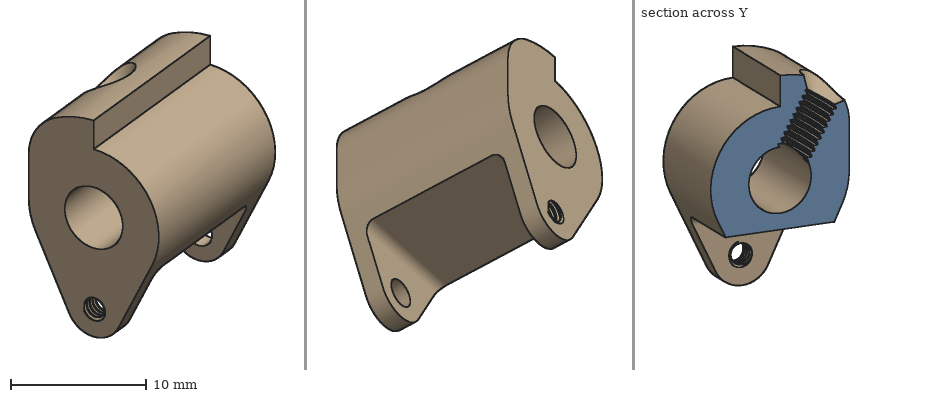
import cadquery as cq
import math

length = 16.0
barrel_radius = 5.71
bore_radius = 2.54
step_height = 2.4
cam_radius = barrel_radius + step_height
shoulder_radius = 4.0

tail_drop = 7.54
tail_radius = 2.4
ear_thickness = 1.58
slot_ceiling_z = -3.85
slot_corner_radius = 0.9

flank_tangent = math.tan(math.radians(30))

ear_thread_diameter = 2.1
ear_thread_pitch = 0.4
ear_thread_start = (1, 0, -1)
ear_clearance_diameter = 2.3

screw_tilt = math.radians(30)
screw_diameter = 3.0
screw_pitch = 0.5
screw_start_turn = math.radians(155)
countersink_apex = 5.55
rim_clearance = 1.0
screw_outward = cq.Vector(-math.sin(screw_tilt), 0, math.cos(screw_tilt))
screw_uphill = cq.Vector(math.cos(screw_tilt), 0, math.sin(screw_tilt))


def minor_radius(diameter, pitch):
    """Radius of the hole inside the thread: the groove is 5/8 of the sharp triangle deep."""
    sharp_height = pitch / (2 * flank_tangent)
    return diameter / 2 - 5 / 8 * sharp_height


def polar(radius, angle, center_x=0.0, center_z=0.0):
    """X and Z of the point at this angle on a circle, measured from +X toward +Z."""
    return (center_x + radius * math.cos(angle), center_z + radius * math.sin(angle))


def make_body():
    shoulder_x = shoulder_radius - barrel_radius
    shoulder_z = math.sqrt((cam_radius - shoulder_radius) ** 2 - shoulder_x**2)
    blend_angle = math.atan2(shoulder_z, shoulder_x)
    shoulder_mid_angle = (blend_angle + math.pi) / 2

    tangent_angle = -math.asin((barrel_radius - tail_radius) / tail_drop)
    barrel_right = polar(barrel_radius, tangent_angle)
    tail_right = polar(tail_radius, tangent_angle, center_z=-tail_drop)
    barrel_left = polar(barrel_radius, math.pi - tangent_angle)
    tail_left = polar(tail_radius, math.pi - tangent_angle, center_z=-tail_drop)

    outline = (
        cq.Workplane("XZ", origin=(0, length / 2, 0))
        .moveTo(0, cam_radius)
        .lineTo(0, barrel_radius)
        .threePointArc(polar(barrel_radius, math.radians(45)), barrel_right)
        .lineTo(*tail_right)
        .threePointArc((0, -tail_drop - tail_radius), tail_left)
        .lineTo(*barrel_left)
        .threePointArc(polar(barrel_radius, math.pi - tangent_angle / 2), (-barrel_radius, 0))
        .lineTo(-barrel_radius, shoulder_z)
        .threePointArc(
            polar(shoulder_radius, shoulder_mid_angle, shoulder_x, shoulder_z),
            polar(cam_radius, blend_angle),
        )
        .threePointArc(polar(cam_radius, (blend_angle + math.pi / 2) / 2), (0, cam_radius))
        .close()
    )
    return outline.extrude(length)


def make_bore():
    return cq.Workplane("XZ", origin=(0, length / 2, 0)).circle(bore_radius).extrude(length)


def make_slot():
    slot_floor_z = -tail_drop - 2 * tail_radius
    height = slot_ceiling_z - slot_floor_z
    return (
        cq.Workplane("XY", origin=(0, 0, slot_floor_z))
        .box(2 * barrel_radius, length - 2 * ear_thickness, height, centered=(True, True, False))
        .edges("|X and >Z")
        .fillet(slot_corner_radius)
    )


def make_tap(diameter, pitch, depth, plane):
    """Solid that cuts a right-hand threaded hole along the plane's normal.

    The helical groove overruns the depth by one pitch at each end and the plain core by two.
    At the plane itself the middle of the groove lies on the plane's X direction.
    """
    core_radius = minor_radius(diameter, pitch)
    root_half_width = pitch / 16
    overlap = pitch / 8
    profile_depth = diameter / 2 - core_radius + overlap
    mouth_half_width = root_half_width + profile_depth * flank_tangent

    core = cq.Workplane("XY", origin=(0, 0, -2 * pitch)).circle(core_radius).extrude(depth + 4 * pitch)
    helix = cq.Wire.makeHelix(pitch, depth + 2 * pitch, core_radius, center=cq.Vector(0, 0, -pitch))
    groove = (
        cq.Workplane("XZ", origin=(0, 0, -pitch))
        .moveTo(core_radius - overlap, -mouth_half_width)
        .lineTo(diameter / 2, -root_half_width)
        .lineTo(diameter / 2, root_half_width)
        .lineTo(core_radius - overlap, mouth_half_width)
        .close()
        .sweep(cq.Workplane(helix), isFrenet=True)
    )
    return core.union(groove).val().moved(plane.location)


def ear_thread():
    """Diameter, pitch, depth and plane of the thread in the front ear."""
    plane = cq.Plane((0, -length / 2, -tail_drop), ear_thread_start, (0, 1, 0))
    return ear_thread_diameter, ear_thread_pitch, ear_thickness, plane


def make_ear_clearance_hole():
    rear_face = cq.Workplane("XZ", origin=(0, length / 2, -tail_drop))
    return rear_face.circle(ear_clearance_diameter / 2).extrude(ear_thickness)


def screw_thread():
    """Diameter, pitch, depth and plane of the thread between the countersink and the bore."""
    start_direction = screw_uphill * math.cos(screw_start_turn) + cq.Vector(0, math.sin(screw_start_turn), 0)
    thread_top = countersink_apex + screw_diameter / 2
    thread_end = math.sqrt(bore_radius**2 - (screw_diameter / 2) ** 2)
    plane = cq.Plane(screw_outward * thread_top, start_direction, screw_outward * -1)
    return screw_diameter, screw_pitch, thread_top - thread_end, plane


def make_countersink():
    small_radius = minor_radius(screw_diameter, screw_pitch)
    rim_radius = cam_radius - countersink_apex + rim_clearance
    return cq.Solid.makeCone(
        small_radius,
        rim_radius,
        rim_radius - small_radius,
        pnt=screw_outward * (countersink_apex + small_radius),
        dir=screw_outward,
    )


result = make_body().cut(make_slot()).cut(make_ear_clearance_hole())
for thread in (ear_thread(), screw_thread()):
    result = result.cut(cq.Workplane(make_tap(*thread)))
result = result.cut(cq.Workplane(make_countersink())).cut(make_bore())